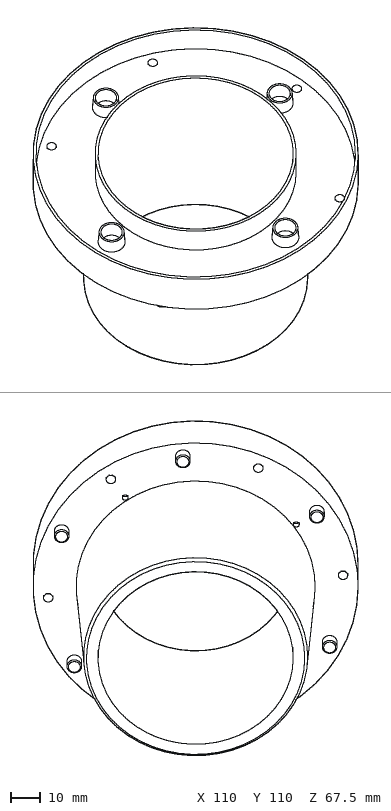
import cadquery as cq

outer_diameter = 110
total_height = 67.5
tray_height = 16.0
floor_thickness = 5.9
rim_wall = 1.0

bore_diameter = 66
collar_wall = 1.0
spigot_top_diameter = 80.8
spigot_bottom_diameter = 75.8
spigot_chamfer = 1.0

boss_count = 4
boss_circle_radius = 41.6
boss_height = 5.1
boss_base_diameter = 9.1
boss_top_diameter = 8.5
boss_bore_diameter = 7.2
boss_pilot_diameter = 2.0
boss_bore_depth = 5.9
boss_cone_depth = 2.5

peg_count = 6
peg_circle_radius = 50.0
peg_diameter = 5.0
peg_length = 4.0
peg_chamfer = 0.4
floor_hole_diameter = 3.2

tray_bottom = total_height - tray_height
floor_top = tray_bottom + floor_thickness
boss_top = floor_top + boss_height


def make_body():
    """Tray, collar and spigot turned as one profile of (radius, height) points."""
    outer_radius = outer_diameter / 2
    rim_inner_radius = outer_radius - rim_wall
    bore_radius = bore_diameter / 2
    collar_radius = bore_radius + collar_wall
    spigot_bottom_radius = spigot_bottom_diameter / 2
    profile = [
        (bore_radius, 0),
        (spigot_bottom_radius - spigot_chamfer, 0),
        (spigot_bottom_radius, spigot_chamfer),
        (spigot_top_diameter / 2, tray_bottom),
        (outer_radius, tray_bottom),
        (outer_radius, total_height),
        (rim_inner_radius, total_height),
        (rim_inner_radius, floor_top),
        (collar_radius, floor_top),
        (collar_radius, total_height),
        (bore_radius, total_height),
    ]
    return cq.Workplane("XZ").polyline(profile).close().revolve(360, (0, 0), (0, 1))


def make_boss():
    """Drafted boss on the part's axis, standing on the tray floor."""
    boss = cq.Solid.makeCone(boss_base_diameter / 2, boss_top_diameter / 2, boss_height)
    return cq.Workplane(boss).translate((0, 0, floor_top))


def make_boss_hole():
    """Cutter for a straight bore with a conical end that narrows into a pilot hole through the floor."""
    bore_radius = boss_bore_diameter / 2
    pilot_radius = boss_pilot_diameter / 2
    bore_bottom = boss_top - boss_bore_depth
    profile = [
        (0, tray_bottom),
        (pilot_radius, tray_bottom),
        (pilot_radius, bore_bottom - boss_cone_depth),
        (bore_radius, bore_bottom),
        (bore_radius, boss_top),
        (0, boss_top),
    ]
    return cq.Workplane("XZ").polyline(profile).close().revolve(360, (0, 0), (0, 1))


def make_peg():
    """Solid peg on the part's axis, hanging below the tray, with a chamfered tip."""
    return (
        cq.Workplane("XY", origin=(0, 0, tray_bottom - peg_length))
        .circle(peg_diameter / 2)
        .extrude(peg_length)
        .faces("<Z")
        .chamfer(peg_chamfer)
    )


def make_floor_hole():
    """Cutter for a plain hole through the tray floor."""
    return (
        cq.Workplane("XY", origin=(0, 0, tray_bottom))
        .circle(floor_hole_diameter / 2)
        .extrude(floor_thickness)
    )


def around_axis(shape, radius, count, first_angle=0):
    """Copies of a shape spaced evenly on a circle around the part's axis."""
    solid = shape.val()
    places = cq.Workplane("XY").polarArray(radius, first_angle, 360, count)
    return places.eachpoint(lambda place: solid.moved(place))


hole_offset_angle = 180 / peg_count

result = (
    make_body()
    .union(around_axis(make_boss(), boss_circle_radius, boss_count))
    .union(around_axis(make_peg(), peg_circle_radius, peg_count))
    .cut(around_axis(make_boss_hole(), boss_circle_radius, boss_count))
    .cut(around_axis(make_floor_hole(), peg_circle_radius, peg_count, hole_offset_angle))
)